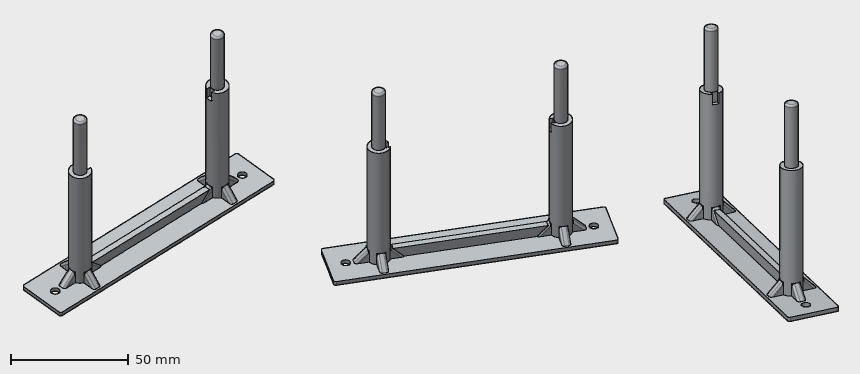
import cadquery as cq

plate_width = 24.0
plate_length = 125.0
plate_thickness = 2.0
plate_corner_radius = 1.0
mount_hole_diameter = 4.0
mount_hole_offset = 54.5

post_offset = 40.0
shaft_diameter = 10.0
shaft_height = 60.0
pin_diameter = 6.0
pin_height = 30.0
pin_fillet = 1.0

slot_width = 3.0
slot_depth = 5.0

rail_width = 3.0
rail_height = 5.0

gusset_width = 4.0
gusset_height = 6.0
gusset_fillet = 1.0
gusset_count = 4

shaft_radius = shaft_diameter / 2
pin_radius = pin_diameter / 2


def make_plate():
    return (
        cq.Workplane("XY")
        .box(plate_width, plate_length, plate_thickness, centered=(True, True, False))
        .edges("|Z")
        .fillet(plate_corner_radius)
        .faces(">Z")
        .workplane()
        .pushPoints([(0, -mount_hole_offset), (0, mount_hole_offset)])
        .hole(mount_hole_diameter)
    )


def make_rail():
    return (
        cq.Workplane("XY")
        .workplane(offset=plate_thickness)
        .box(rail_width, 2 * post_offset, rail_height, centered=(True, True, False))
    )


def make_gusset():
    """Gusset along +X: a wedge with a rounded slope outside the shaft and a plain root inside it."""
    wedge = (
        cq.Workplane("XZ")
        .polyline([(0, 0), (gusset_height, 0), (0, gusset_height)])
        .close()
        .extrude(gusset_width / 2, both=True)
    )
    slope_face = wedge.faces(cq.selectors.DirectionMinMaxSelector(cq.Vector(1, 0, 1)))
    rounded_wedge = slope_face.edges("|(1, 0, -1)").fillet(gusset_fillet)
    root = cq.Workplane("XY").box(
        shaft_radius, gusset_width, gusset_height, centered=(False, True, False)
    )
    return root.union(rounded_wedge.translate((shaft_radius, 0, 0)))


def make_key_slot():
    """Box on the +Y side, with a flat inner wall tangent to the pin."""
    return (
        cq.Workplane("XY")
        .box(slot_width, shaft_radius, slot_depth, centered=(True, False, False))
        .translate((0, pin_radius, shaft_height - slot_depth))
    )


def make_post():
    """Post standing on Z = 0 with its key slot on the +Y side."""
    shaft = cq.Workplane("XY").circle(shaft_radius).extrude(shaft_height)
    pin = (
        cq.Workplane("XY")
        .circle(pin_radius)
        .extrude(shaft_height + pin_height)
        .faces(">Z")
        .fillet(pin_fillet)
    )
    post = shaft.cut(make_key_slot()).union(pin)
    gusset = make_gusset()
    for index in range(gusset_count):
        angle = index * 360 / gusset_count
        post = post.union(gusset.rotate((0, 0, 0), (0, 0, 1), angle))
    return post


front_post = make_post().translate((0, -post_offset, plate_thickness))
back_post = front_post.rotate((0, 0, 0), (0, 0, 1), 180)

result = make_plate().union(make_rail()).union(front_post).union(back_post)